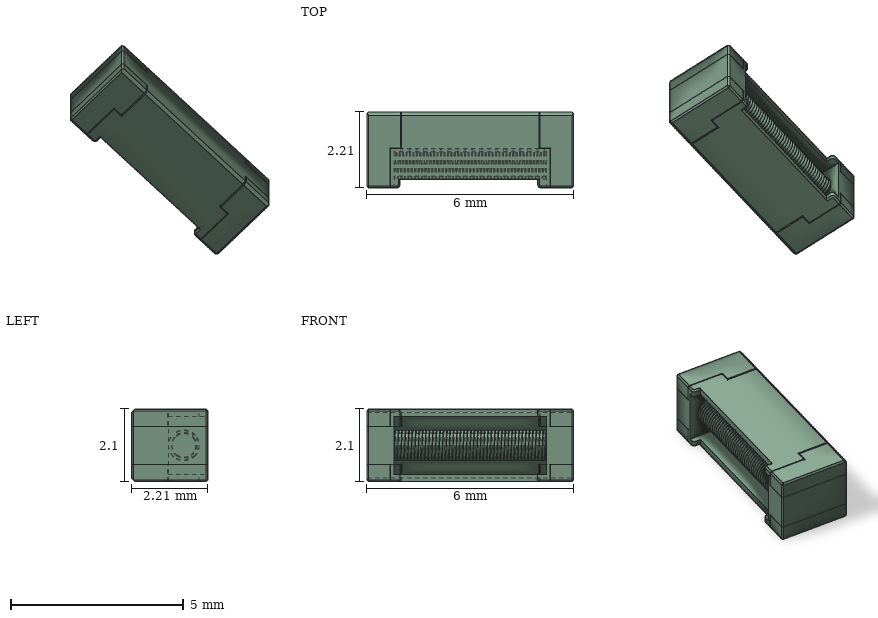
import cadquery as cq
length = 6.0
depth = 2.21
height = 2.1
end_x = length / 2
front_y = -depth / 2
back_y = depth / 2
top_z = height / 2

edge_chamfer = 0.05
back_chamfer = 0.1

recess_depth = 0.25
recess_y = front_y + recess_depth
left_foot_width = 0.96
right_foot_width = 1.04
foot_fillet = 0.1
foot_root = 0.3

pad_height = 0.5
pad_front_length = 0.67
pad_back_length = 0.97
pad_step_y = 0.06
front_gap = 0.02
back_gap = 0.04
step_gap = 0.02

end_wall_x = 0.79
plate_thickness = 0.21
chamber_back_y = pad_step_y - step_gap
chamber_length = length - 2 * end_wall_x
chamber_height = height - 2 * plate_thickness

coil_radius = 0.445
wire_radius = 0.045
wire_pitch = 0.1
wire_turns = 45.5
core_clearance = 0.01
coil_y = -0.41
helix_radius = coil_radius - wire_radius
core_radius = helix_radius - wire_radius - core_clearance

TOP_AND_BOTTOM = (1, -1)
LEFT_AND_RIGHT = (-1, 1)


def box(x_range, y_range, z_range):
    """Axis-aligned box from its limits, given in either order."""
    ranges = [sorted(limits) for limits in (x_range, y_range, z_range)]
    corner = [low for low, high in ranges]
    size = [high - low for low, high in ranges]
    return cq.Workplane("XY").box(*size, centered=False).translate(tuple(corner))


def foot(side, width):
    """Front foot at one end, with a rounded inner corner and broken edges."""
    inner_x = side * (end_x - width)
    block = box((side * end_x, inner_x), (front_y, recess_y + foot_root), (-top_z, top_z))
    outer, inner = (">X", "<X") if side > 0 else ("<X", ">X")
    block = block.faces(inner).edges("<Y").fillet(foot_fillet)
    return block.faces(f"{outer} or >Z or <Z").edges().chamfer(edge_chamfer)


def outer_block():
    """Chamfered block with its front recess, before pads and chamber are separated."""
    main = box((-end_x, end_x), (recess_y, back_y), (-top_z, top_z))
    main = main.faces("<X or >X").edges("not <Y").chamfer(edge_chamfer)
    block = main.union(foot(-1, left_foot_width)).union(foot(1, right_foot_width))
    for level in TOP_AND_BOTTOM:
        wedge = (
            cq.Workplane("YZ")
            .moveTo(back_y, level * top_z)
            .lineTo(back_y - back_chamfer, level * top_z)
            .lineTo(back_y, level * (top_z - back_chamfer))
            .close()
            .extrude(end_x, both=True)
        )
        block = block.cut(wedge)
    return block


def corner_zone(side, level, front_length, back_length, step_y):
    """L-shaped region at one corner: short in front of step_y and long behind it."""
    z_range = (level * top_z, level * (top_z - pad_height))
    front = box((side * end_x, side * (end_x - front_length)), (front_y, back_y), z_range)
    back = box((side * end_x, side * (end_x - back_length)), (step_y, back_y), z_range)
    return front.union(back)


def corner_pad(block, side, level):
    """Solid pad filling one corner of the block."""
    return block.intersect(corner_zone(side, level, pad_front_length, pad_back_length, pad_step_y))


def core():
    """Round bar carrying the winding, spanning the chamber from wall to wall."""
    bar = cq.Workplane("YZ").circle(core_radius).extrude(chamber_length / 2, both=True)
    return bar.translate((0, coil_y, 0))


def wire():
    """Helical wire along X, starting and ending inside the end walls."""
    run = wire_turns * wire_pitch
    path = cq.Wire.makeHelix(wire_pitch, run, helix_radius, lefthand=True)
    coil = cq.Workplane("XZ", origin=(helix_radius, 0, 0)).circle(wire_radius)
    coil = coil.sweep(cq.Workplane(obj=path), isFrenet=True)
    return coil.rotate((0, 0, 0), (0, 1, 0), 90).translate((-run / 2, coil_y, 0))


def housing(block):
    """Block with pad pockets and chamber removed, joined to the core and its wire."""
    for side in LEFT_AND_RIGHT:
        for level in TOP_AND_BOTTOM:
            block = block.cut(
                corner_zone(
                    side,
                    level,
                    pad_front_length + front_gap,
                    pad_back_length + back_gap,
                    pad_step_y - step_gap,
                )
            )
    chamber = box(
        (-chamber_length / 2, chamber_length / 2),
        (front_y, chamber_back_y),
        (-chamber_height / 2, chamber_height / 2),
    )
    return block.cut(chamber).union(core()).union(wire(), clean=False)


block = outer_block()
coil_housing = housing(block)
pads = [corner_pad(block, side, level) for side in LEFT_AND_RIGHT for level in TOP_AND_BOTTOM]

result = cq.Compound.makeCompound([coil_housing.val(), *[pad.val() for pad in pads]])